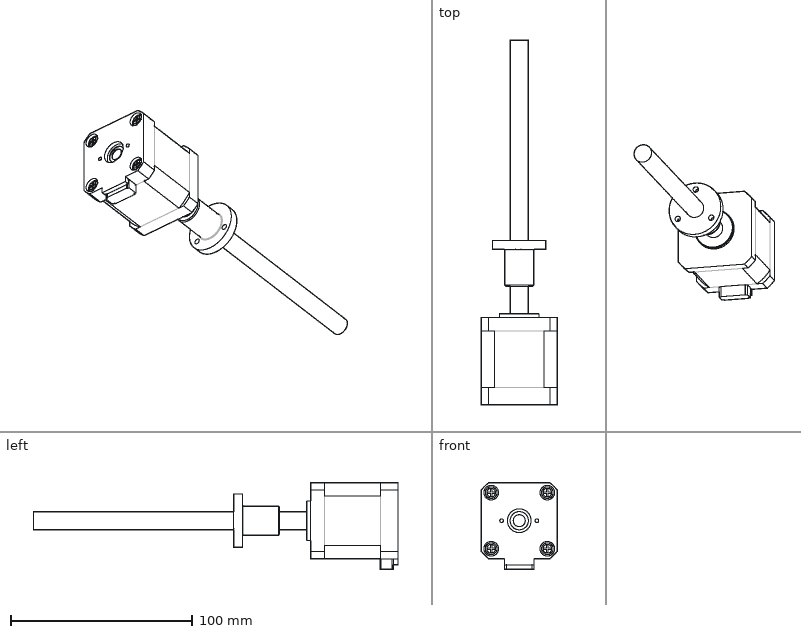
import cadquery as cq

MOTOR_WIDTH = 42.0
MOTOR_LENGTH = 48.3
REAR_CAP_LENGTH = 9.7
FRONT_CAP_LENGTH = 7.6
CAP_CORNER_DIAMETER = 54.0
STATOR_CORNER_DIAMETER = 50.1
BOSS_DIAMETER = 22.0
BOSS_HEIGHT = 2.2
BOSS_CHAMFER = 0.5
STATOR_END = MOTOR_LENGTH - FRONT_CAP_LENGTH
BOSS_END = MOTOR_LENGTH + BOSS_HEIGHT

CONNECTOR_WIDTH = 16.3
TAB_DROP = 3.5
TAB_THICKNESS = 2.6
CONNECTOR_DROP = 5.8
CONNECTOR_LENGTH = 7.2
CONNECTOR_SIDE_INSET = 1.2
CONNECTOR_END_STEP = 0.6

MOTOR_SCREW_SPACING = 31.0
COUNTERBORE_DIAMETER = 8.0
COUNTERBORE_DEPTH = 2.0
HEAD_DIAMETER = 6.5
HEAD_HEIGHT = 1.5
HEAD_CHAMFER = 0.8
CROSS_LENGTH = 4.0
CROSS_WIDTH = 0.8
CROSS_DEPTH = 0.8

REAR_BORE_DIAMETER = 13.0
REAR_BORE_DEPTH = 2.5
PIN_HOLE_SPACING = 19.5
PIN_HOLE_DIAMETER = 2.0
PIN_HOLE_DEPTH = 2.0

SCREW_DIAMETER = 10.0
SCREW_END = 201.3
JOURNAL_DIAMETER = 6.6
JOURNAL_LENGTH = 0.5

NUT_START = 65.5
NUT_DIAMETER = 16.1
NUT_CHAMFER = 0.6
FLANGE_START = 85.8
FLANGE_THICKNESS = 5.0
FLANGE_FILLET = 0.5
FLANGE_DIAMETER = 29.5
FLANGE_HOLE_COUNT = 3
FLANGE_HOLE_DIAMETER = 3.0
FLANGE_HOLE_CIRCLE = 22.1
FIRST_FLANGE_HOLE_ANGLE = 87.5


def plane_at(y):
    """Plane square to the motor axis whose normal points along +Y; local (x, z) becomes (-x, z)."""
    return cq.Workplane(cq.Plane(origin=(0, y, 0), xDir=(-1, 0, 0), normal=(0, 1, 0)))


def rod(diameter, start, end):
    """Cylinder on the motor axis between two y positions."""
    return plane_at(start).circle(diameter / 2).extrude(end - start)


def turned_block(corner_diameter, start, end):
    """Square block whose corners are turned to a diameter."""
    block = plane_at(start).rect(MOTOR_WIDTH, MOTOR_WIDTH).extrude(end - start)
    return block.intersect(rod(corner_diameter, start, end))


def hanging_block(width, drop, start, length):
    """Block below the underside of the motor, reaching along Y from start."""
    underside = cq.Workplane("XY", origin=(0, start + length / 2, -MOTOR_WIDTH / 2))
    return underside.rect(width, length).extrude(-drop)


def make_tab():
    """Plate that hangs from the rear cap, flush with the rear face."""
    return hanging_block(CONNECTOR_WIDTH, TAB_DROP, 0, TAB_THICKNESS)


def motor_screw_seats():
    half = MOTOR_SCREW_SPACING / 2
    return [(x, z) for x in (-half, half) for z in (-half, half)]


def make_screw_heads():
    """Cross-recessed heads standing on the floors of the counterbores."""
    seats = motor_screw_seats()
    top = COUNTERBORE_DEPTH - HEAD_HEIGHT
    heads = plane_at(top).pushPoints(seats).circle(HEAD_DIAMETER / 2).extrude(HEAD_HEIGHT)
    heads = heads.faces("<Y").edges().chamfer(HEAD_CHAMFER)
    for length, height in ((CROSS_LENGTH, CROSS_WIDTH), (CROSS_WIDTH, CROSS_LENGTH)):
        heads = heads.cut(plane_at(top).pushPoints(seats).rect(length, height).extrude(CROSS_DEPTH))
    return heads


def make_rear_cap():
    """Rear end of the motor, with its tab, motor screws and pin holes."""
    cap = turned_block(CAP_CORNER_DIAMETER, 0, REAR_CAP_LENGTH).union(make_tab())
    seats = plane_at(0).pushPoints(motor_screw_seats())
    cap = cap.cut(seats.circle(COUNTERBORE_DIAMETER / 2).extrude(COUNTERBORE_DEPTH))
    cap = cap.union(make_screw_heads())
    pins = plane_at(0).pushPoints([(-PIN_HOLE_SPACING / 2, 0), (PIN_HOLE_SPACING / 2, 0)])
    cap = cap.cut(pins.circle(PIN_HOLE_DIAMETER / 2).extrude(PIN_HOLE_DEPTH))
    return cap.cut(rod(REAR_BORE_DIAMETER, 0, REAR_BORE_DEPTH))


def make_front_cap():
    """Front end of the motor, with its chamfered centring boss."""
    boss = rod(BOSS_DIAMETER, MOTOR_LENGTH, BOSS_END).faces(">Y").edges().chamfer(BOSS_CHAMFER)
    return turned_block(CAP_CORNER_DIAMETER, STATOR_END, MOTOR_LENGTH).union(boss)


def make_motor():
    """Caps and stator as one solid; the seams between their flush faces are kept as edges."""
    stator = turned_block(STATOR_CORNER_DIAMETER, REAR_CAP_LENGTH, STATOR_END)
    motor = make_rear_cap().union(stator, clean=False).union(make_front_cap(), clean=False)
    return motor.cut(rod(SCREW_DIAMETER, 0, BOSS_END), clean=False)


def make_connector():
    """Block under the rear cap, behind the tab, with its four upright corners stepped."""
    core_width = CONNECTOR_WIDTH - 2 * CONNECTOR_SIDE_INSET
    side_length = CONNECTOR_LENGTH - 2 * CONNECTOR_END_STEP
    core = hanging_block(core_width, CONNECTOR_DROP, TAB_THICKNESS, CONNECTOR_LENGTH)
    sides = hanging_block(CONNECTOR_WIDTH, CONNECTOR_DROP, TAB_THICKNESS + CONNECTOR_END_STEP, side_length)
    return core.union(sides)


def make_lead_screw():
    """Screw that runs through the motor, with a thin journal at its rear end."""
    shoulder = REAR_BORE_DEPTH + JOURNAL_LENGTH
    journal = rod(JOURNAL_DIAMETER, REAR_BORE_DEPTH, shoulder)
    return rod(SCREW_DIAMETER, shoulder, SCREW_END).union(journal)


def make_nut():
    """Round nut with a drilled flange at its front end."""
    flange_end = FLANGE_START + FLANGE_THICKNESS
    body = rod(NUT_DIAMETER, NUT_START, FLANGE_START).faces("<Y").edges().chamfer(NUT_CHAMFER)
    flange = rod(FLANGE_DIAMETER, FLANGE_START, flange_end)
    nut = flange.union(body)
    nut = nut.faces(cq.selectors.NearestToPointSelector((0, FLANGE_START, FLANGE_DIAMETER / 2)))
    nut = nut.edges(cq.selectors.RadiusNthSelector(0)).fillet(FLANGE_FILLET)
    holes = (
        plane_at(FLANGE_START)
        .polarArray(FLANGE_HOLE_CIRCLE / 2, FIRST_FLANGE_HOLE_ANGLE, 360, FLANGE_HOLE_COUNT)
        .circle(FLANGE_HOLE_DIAMETER / 2)
        .extrude(FLANGE_THICKNESS)
    )
    return nut.cut(holes).cut(rod(SCREW_DIAMETER, NUT_START, flange_end))


motor = make_motor()
connector = make_connector()
lead_screw = make_lead_screw()
nut = make_nut()

result = cq.Compound.makeCompound([motor.val(), connector.val(), lead_screw.val(), nut.val()])